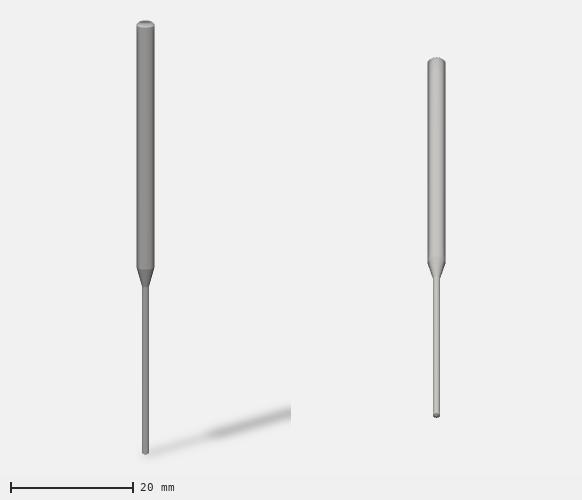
import cadquery as cq
import math

total_length = 75.0
shank_diameter = 3.0
cutter_diameter = 1.2
cutter_length = 24.0
shoulder_height = 29.3
taper_half_angle = 15.0
point_angle = 130.0
shank_chamfer = 0.3

shank_radius = shank_diameter / 2
cutter_radius = cutter_diameter / 2
taper_length = (shank_radius - cutter_radius) / math.tan(math.radians(taper_half_angle))
shank_start = shoulder_height + taper_length
point_height = cutter_radius / math.tan(math.radians(point_angle / 2))


def revolve_about_z(profile):
    """Turn a (radius, height) outline about the Z axis."""
    return cq.Workplane("XZ").polyline(profile).close().revolve(360, (0, 0), (0, 1))


def make_holder():
    """Chamfered shank, tapering down to the slim neck."""
    profile = [
        (0, cutter_length),
        (cutter_radius, cutter_length),
        (cutter_radius, shoulder_height),
        (shank_radius, shank_start),
        (shank_radius, total_length - shank_chamfer),
        (shank_radius - shank_chamfer, total_length),
        (0, total_length),
    ]
    return revolve_about_z(profile)


def make_cutter():
    """Plain cylindrical cutting length ending in a conical point."""
    profile = [
        (0, 0),
        (cutter_radius, point_height),
        (cutter_radius, cutter_length),
        (0, cutter_length),
    ]
    return revolve_about_z(profile)


holder = make_holder()
cutter = make_cutter()

result = cq.Compound.makeCompound([holder.val(), cutter.val()])